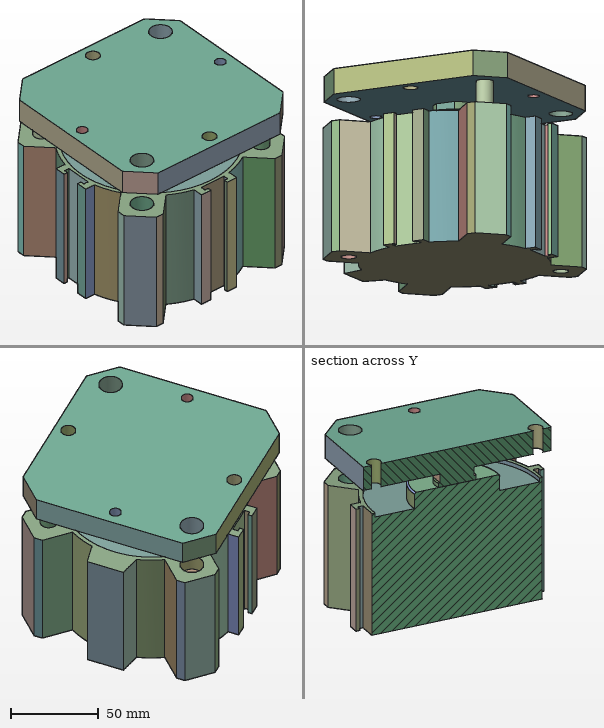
import cadquery as cq

body_height = 77.0
overall_height = 107.5
plate_thickness = 15.0
plate_bottom = overall_height - plate_thickness

axis_point = [(0, 0)]

width = 120.0
half_width = width / 2
tube_diameter = 110.0
post_chamfer = 13.1
post_inner_edge = 41.7

rail_half_width = 13.1
slot_mouth_half_width = 6.0
slot_half_width = 8.5
slot_lip = 2.5
slot_floor = 54.3

ridge_height = 6.0
ridge_base_width = 25.0
ridge_top_width = 22.4

recess_diameter = 105.0
recess_depth = 2.5
collar_diameter = 55.0
collar_height = 7.5
collar_chamfer = 1.0
collar_top = body_height + collar_height

post_center = 44.5
bolt_hole_diameter = 9.0
counterbore_diameter = 13.5
counterbore_depth = 10.1
guide_rod_diameter = 10.0
bolt_points = [(-post_center, post_center), (post_center, -post_center)]
guide_points = [(-post_center, -post_center), (post_center, post_center)]

rod_diameter = 25.0
rod_across_flats = 21.9
flat_height = 5.3

plate_chamfer = 14.5
access_hole_diameter = 13.5
side_hole_offset = 51.5
x_hole_diameter = 8.5
y_hole_diameter = 6.7


def make_post():
    """Corner post in the -X, -Y corner, running diagonally from the axis."""
    chamfer_start = half_width - post_chamfer
    post_shift = half_width - post_inner_edge
    return (
        cq.Workplane("XY")
        .moveTo(-half_width, -chamfer_start)
        .lineTo(-chamfer_start, -half_width)
        .lineTo(-post_inner_edge, -half_width)
        .lineTo(0, -post_shift)
        .lineTo(0, 0)
        .lineTo(-post_shift, 0)
        .lineTo(-half_width, -post_inner_edge)
        .close()
        .extrude(body_height)
    )


def side_block(block_width, inner_y, outer_y):
    """Full-height block on the -Y side, between two distances from the axis."""
    return (
        cq.Workplane("XY")
        .center(0, -(inner_y + outer_y) / 2)
        .rect(block_width, outer_y - inner_y)
        .extrude(body_height)
    )


def make_rail_block():
    """Block on the -Y side that the T-slot is cut into."""
    return side_block(2 * rail_half_width, half_width / 2, half_width)


def make_slot():
    """T-slot on the -Y side: a narrow mouth and a wider pocket behind the lips."""
    mouth = side_block(2 * slot_mouth_half_width, slot_floor, half_width)
    pocket = side_block(2 * slot_half_width, slot_floor, half_width - slot_lip)
    return mouth.union(pocket)


def make_ridge():
    """Tapered ridge on the +Y side, with its flanks carried inward into the tube."""
    ridge_top = half_width + ridge_height
    taper = (ridge_base_width - ridge_top_width) / (2 * ridge_height)
    root_y = half_width / 2
    root_half_width = ridge_top_width / 2 + taper * (ridge_top - root_y)
    return (
        cq.Workplane("XY")
        .moveTo(-root_half_width, root_y)
        .lineTo(root_half_width, root_y)
        .lineTo(ridge_top_width / 2, ridge_top)
        .lineTo(-ridge_top_width / 2, ridge_top)
        .close()
        .extrude(body_height)
    )


def turned(shape, angle):
    """Copy of a shape turned about the Z axis."""
    return shape.rotate((0, 0, 0), (0, 0, 1), angle)


def make_cylinders(points, diameter, bottom, top):
    """Upright cylinders at the given XY points between two heights."""
    return (
        cq.Workplane("XY", origin=(0, 0, bottom))
        .pushPoints(points)
        .circle(diameter / 2)
        .extrude(top - bottom)
    )


def make_housing():
    """Tube with corner posts, T-slot rails, a side ridge and a raised collar on top."""
    housing = make_cylinders(axis_point, tube_diameter, 0, body_height)
    for angle in (0, 90, 180, 270):
        housing = housing.union(turned(make_post(), angle))
    for angle in (-90, 0, 90):
        housing = housing.union(turned(make_rail_block(), angle))
        housing = housing.cut(turned(make_slot(), angle))
    housing = housing.union(make_ridge())

    recess_floor = body_height - recess_depth
    recess = make_cylinders(axis_point, recess_diameter, recess_floor, body_height)
    collar = make_cylinders(axis_point, collar_diameter, recess_floor, collar_top)
    collar = collar.faces(">Z").chamfer(collar_chamfer)
    housing = housing.cut(recess).union(collar)

    bolt_holes = make_cylinders(bolt_points, bolt_hole_diameter, 0, body_height)
    counterbore_floor = body_height - counterbore_depth
    counterbores = make_cylinders(bolt_points, counterbore_diameter, counterbore_floor, body_height)
    return housing.cut(bolt_holes).cut(counterbores)


def make_piston_rod():
    """Round rod with two wrench flats facing -X and +X just under the plate."""
    rod = make_cylinders(axis_point, rod_diameter, collar_top, plate_bottom)
    flat_cut = (
        cq.Workplane("XY", origin=(0, 0, plate_bottom - flat_height))
        .rect(2 * rod_diameter, 2 * rod_diameter)
        .rect(rod_across_flats, 2 * rod_diameter)
        .extrude(flat_height)
    )
    return rod.cut(flat_cut)


def make_moving_plate():
    """Plate with the piston rod and two guide rods that reach down to the housing."""
    plate = (
        cq.Workplane("XY", origin=(0, 0, plate_bottom))
        .rect(width, width)
        .extrude(plate_thickness)
        .edges("|Z")
        .chamfer(plate_chamfer)
    )
    x_points = [(-side_hole_offset, 0), (side_hole_offset, 0)]
    y_points = [(0, -side_hole_offset), (0, side_hole_offset)]
    hole_groups = [
        (bolt_points, access_hole_diameter),
        (x_points, x_hole_diameter),
        (y_points, y_hole_diameter),
    ]
    for points, diameter in hole_groups:
        plate = plate.cut(make_cylinders(points, diameter, plate_bottom, overall_height))

    guide_rods = make_cylinders(guide_points, guide_rod_diameter, body_height, plate_bottom)
    return plate.union(guide_rods).union(make_piston_rod())


housing = make_housing()
moving_plate = make_moving_plate()
result = cq.Compound.makeCompound([housing.val(), moving_plate.val()])